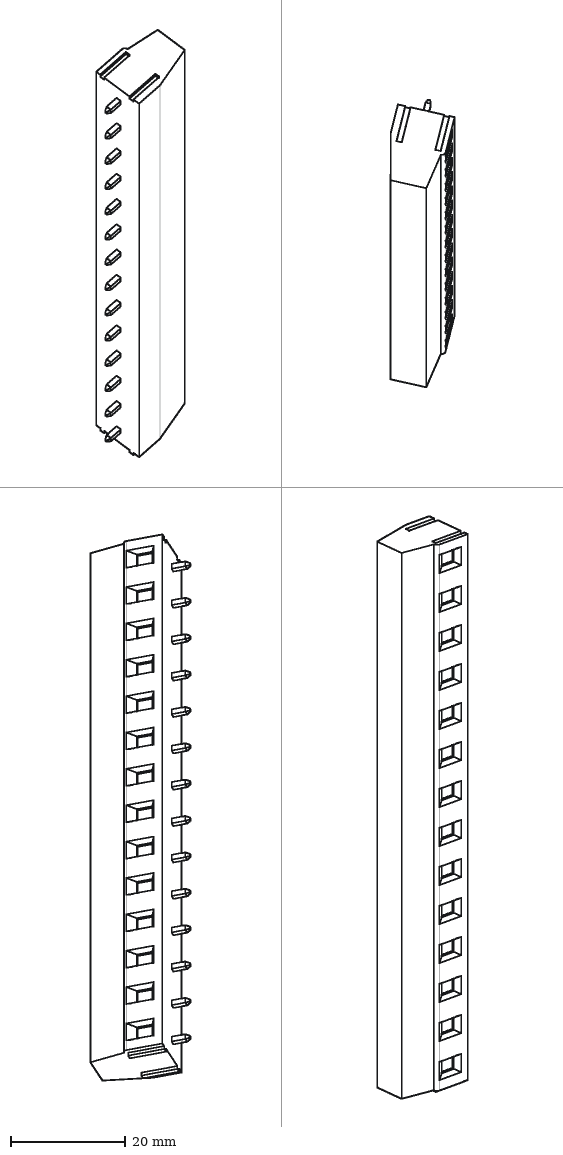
import cadquery as cq
import math


pole_count = 14
pitch = 7.5
row_length = pole_count * pitch

housing_width = 10.2
housing_depth = 14.0
crown_left = 1.75
crown_right = 8.2
shoulder_x = 0.7
shoulder_y = 7.35
shoulder_radius = 0.65
wire_face_top = shoulder_y - shoulder_radius
back_face_top = 5.4

rib_width = 0.95
rib_height = 0.6
rib_centers = (1.4, 8.4)

funnel_height = 3.5
funnel_bottom = 1.6
throat_height = 2.55
throat_bottom = 2.3
throat_top = 5.15
funnel_depth = 1.1
throat_depth = 0.5

pin_width = 1.0
pin_length = 3.3
pin_tip_length = 0.75
pin_tip_width = 0.4
pin_x = 5.35


def make_housing():
    arc_inset = shoulder_radius * (1 - math.sqrt(0.5))
    return (
        cq.Workplane("XY")
        .moveTo(0, 0)
        .lineTo(housing_width, 0)
        .lineTo(housing_width, back_face_top)
        .lineTo(crown_right, housing_depth)
        .lineTo(crown_left, housing_depth)
        .lineTo(shoulder_x, shoulder_y)
        .lineTo(shoulder_radius, shoulder_y)
        .threePointArc((arc_inset, shoulder_y - arc_inset), (0, wire_face_top))
        .close()
        .extrude(row_length)
    )


def make_rib(center_x, root_z):
    """Bar hanging below root_z and running up from the mounting face; also the shape of its groove."""
    return (
        cq.Workplane("XY")
        .box(rib_width, wire_face_top, rib_height, centered=(True, False, False))
        .translate((center_x, 0, root_z - rib_height))
    )


def make_wire_entry(center_z):
    """Tapered funnel followed by a straight rectangular throat."""
    funnel_center_y = (funnel_bottom + wire_face_top) / 2
    throat_center_y = (throat_bottom + throat_top) / 2
    throat_size_y = throat_top - throat_bottom
    funnel = (
        cq.Workplane("YZ")
        .center(funnel_center_y, center_z)
        .rect(wire_face_top - funnel_bottom, funnel_height)
        .workplane(offset=funnel_depth)
        .center(throat_center_y - funnel_center_y, 0)
        .rect(throat_size_y, throat_height)
        .loft(ruled=True)
    )
    throat = (
        cq.Workplane("YZ", origin=(funnel_depth, throat_center_y, center_z))
        .rect(throat_size_y, throat_height)
        .extrude(throat_depth)
    )
    return funnel.union(throat)


def make_pin(center_z):
    """Square pin with a pyramidal tip."""
    shank_length = pin_length - pin_tip_length
    shank = cq.Workplane("XZ", origin=(pin_x, 0, center_z)).rect(pin_width, pin_width).extrude(shank_length)
    tip = (
        shank.faces("<Y")
        .workplane(centerOption="CenterOfBoundBox")
        .rect(pin_width, pin_width)
        .workplane(offset=pin_tip_length)
        .rect(pin_tip_width, pin_tip_width)
        .loft(ruled=True, combine=False)
    )
    return shank.union(tip)


result = make_housing()

for rib_x in rib_centers:
    result = result.cut(make_rib(rib_x, row_length))
    result = result.union(make_rib(rib_x, 0))

for pole in range(pole_count):
    pole_z = (pole + 0.5) * pitch
    result = result.cut(make_wire_entry(pole_z))
    result = result.union(make_pin(pole_z))